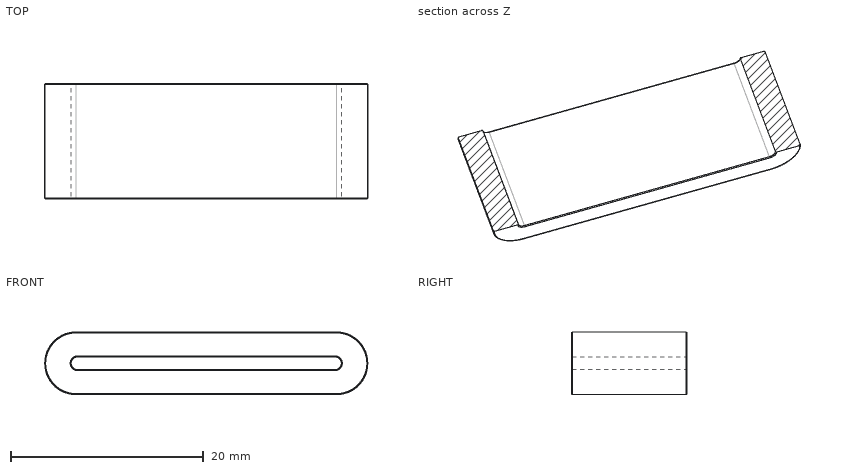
import cadquery as cq

length = 33.5
depth = 12.0
height = 6.5

slot_length = 28.0
slot_height = 1.3

edge_bevel = 0.1


def rounded_bar(bar_length, bar_height):
    """Round-ended bar centred on the origin, running along Y."""
    return (
        cq.Workplane("XZ")
        .slot2D(bar_length, bar_height)
        .extrude(depth / 2, both=True)
    )


body = rounded_bar(length, height)
slot = rounded_bar(slot_length, slot_height)

result = body.cut(slot).faces("<Y or >Y").edges().chamfer(edge_bevel)